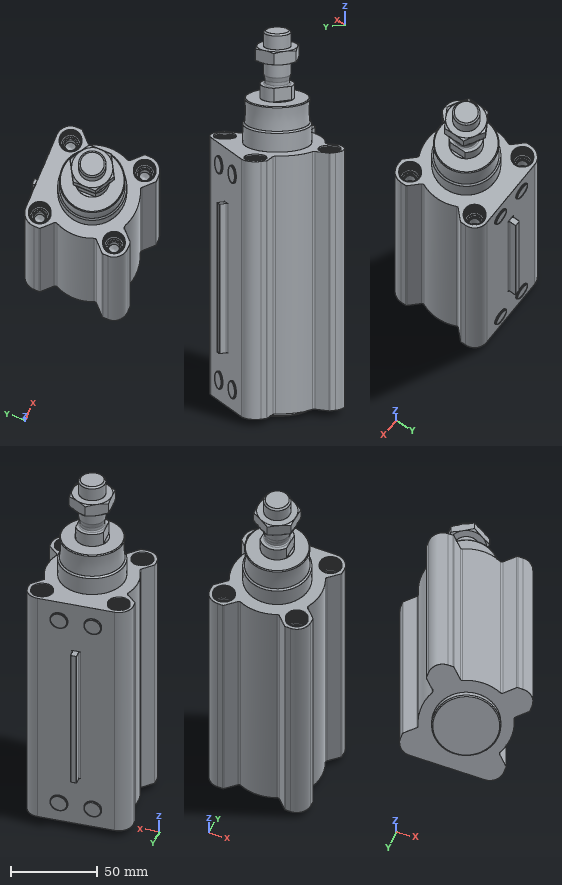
import cadquery as cq
import math

overall_height = 227.8
body_width = 64.0
body_bottom = 4.0
body_length = 156.0
body_top = body_bottom + body_length
body_middle = body_bottom + body_length / 2
half_width = body_width / 2
barrel_diameter = 55.8
barrel_radius = barrel_diameter / 2
boss_spacing = 46.5
boss_offset = boss_spacing / 2
boss_radius = half_width - boss_offset
leg_edge = 19.5
root_fillet = 1.4
leg_edge_fillet = 1.0

entry_diameter = 13.2
entry_depth = 1.0
groove_diameter = 12.0
groove_land_diameter = 11.5
groove_pitch = 1.4
groove_count = 6
tier_diameters = (9.5, 8.0)
tier_height = 1.4
thread_bore_diameter = 6.5
thread_bore_depth = 18.2
drill_point_angle = 118.0

collar_diameter = 40.0
collar_top = 171.5
collar_bevel = 1.0
neck_diameter = 38.0
neck_waist_diameter = 37.1
neck_top = 187.3
neck_edge_chamfer = 0.57
rear_cap_chamfer = 0.7

rib_width = 3.6
rib_projection = 5.0
rib_length = 90.5
rib_base_fillet = 1.0
rib_edge_chamfer = 0.35
pad_diameter = 10.7
pad_projection = 1.03
pad_chamfer = 0.5
pad_spacing_x = 20.5
pad_spacing_z = 130.3

rod_diameter = 20.0
rod_bottom = body_top
flats_width = 16.9
flats_bottom = 187.5
shoulder_top = 195.7
undercut_diameter = 14.4
undercut_fillet = 0.7
thread_diameter = 16.0
thread_bottom = 201.4
thread_runout = 3.0
thread_chamfer = 1.03

nut_across_flats = 24.0
nut_height = 8.0
nut_bottom = 210.5
nut_across_corners = nut_across_flats / math.cos(math.pi / 6)
nut_face_diameter = nut_across_flats
nut_chamfer_angle = 20.0


def cylinder(diameter, bottom, top):
    return cq.Workplane("XY", origin=(0, 0, bottom)).circle(diameter / 2).extrude(top - bottom)


def revolve_profile(profile):
    """Turn an XZ outline, drawn on the +X side, about the Z axis."""
    return profile.close().revolve(360, (0, 0, 0), (0, 1, 0))


def barrel_sketch_plane():
    return cq.Workplane("XY", origin=(0, 0, body_bottom))


def vertical_edges_at(x, y):
    """Selector for the Z edges at one point of the barrel outline."""
    reach = 0.2
    return cq.selectors.BoxSelector(
        (x - reach, y - reach, body_bottom - reach),
        (x + reach, y + reach, body_top + reach),
    )


def make_barrel():
    half_leg = (half_width - leg_edge) / math.sqrt(2)
    square = barrel_sketch_plane().rect(body_width, body_width).extrude(body_length)
    barrel = cylinder(barrel_diameter, body_bottom, body_top)
    for angle in (45, 135):
        leg = barrel_sketch_plane().rect(2 * body_width, 2 * half_leg).extrude(body_length)
        barrel = barrel.union(leg.rotate((0, 0, 0), (0, 0, 1), angle).intersect(square))

    wall = (
        barrel_sketch_plane().center(0, (boss_offset + half_width) / 2)
        .rect(boss_spacing, half_width - boss_offset).extrude(body_length)
    )
    wall_fill = (
        barrel_sketch_plane().center(0, boss_offset / 2)
        .rect(2 * (boss_offset - half_leg), boss_offset).extrude(body_length)
    )
    barrel = barrel.union(wall).union(wall_fill).clean()

    root_along = math.sqrt(barrel_radius**2 - half_leg**2)
    root_far = (root_along + half_leg) / math.sqrt(2)
    root_near = (root_along - half_leg) / math.sqrt(2)
    for x in (-1, 1):
        for far, near, radius in (
            (root_far, root_near, root_fillet),
            (half_width, leg_edge, leg_edge_fillet),
        ):
            for point in ((x * far, near), (x * far, -near), (x * near, -far)):
                barrel = barrel.edges(vertical_edges_at(*point)).fillet(radius)
        for y in (-1, 1):
            barrel = barrel.edges(vertical_edges_at(x * half_width, y * half_width)).fillet(boss_radius)
    return barrel


def make_socket():
    """Cutter for one screw socket on the Z axis: entry, ring grooves, narrowing tiers and a drilled bore."""
    entry_floor = body_top - entry_depth
    grooved_floor = entry_floor - groove_count * groove_pitch
    bore_floor = body_top - thread_bore_depth
    bore_radius = thread_bore_diameter / 2
    point_length = bore_radius / math.tan(math.radians(drill_point_angle / 2))

    socket = cylinder(entry_diameter, entry_floor, body_top)
    socket = socket.union(cylinder(groove_land_diameter, grooved_floor, entry_floor))
    for index in range(groove_count):
        groove_top = entry_floor - index * groove_pitch
        socket = socket.union(cylinder(groove_diameter, groove_top - groove_pitch / 2, groove_top))

    tier_top = grooved_floor
    for diameter in tier_diameters:
        socket = socket.union(cylinder(diameter, tier_top - tier_height, tier_top))
        tier_top -= tier_height

    bore = revolve_profile(
        cq.Workplane("XZ")
        .moveTo(0, tier_top)
        .lineTo(bore_radius, tier_top)
        .lineTo(bore_radius, bore_floor)
        .lineTo(0, bore_floor - point_length)
    )
    return socket.union(bore)


def make_collar():
    """Collar with a bevelled shoulder, below a neck with a slightly hollow waist."""
    collar_radius = collar_diameter / 2
    neck_radius = neck_diameter / 2
    bevel_top = collar_top + collar_bevel
    rim = neck_top - neck_edge_chamfer
    return revolve_profile(
        cq.Workplane("XZ")
        .moveTo(0, body_top)
        .lineTo(collar_radius, body_top)
        .lineTo(collar_radius, collar_top)
        .lineTo(neck_radius, bevel_top)
        .threePointArc((neck_waist_diameter / 2, (bevel_top + rim) / 2), (neck_radius, rim))
        .lineTo(neck_radius - neck_edge_chamfer, neck_top)
        .lineTo(0, neck_top)
    )


def make_rib():
    """Lengthwise rib with chamfered outer edges and fillets down to the flat +Y side."""
    rib_half = rib_width / 2
    tip = half_width + rib_projection
    foot = rib_half + rib_base_fillet
    outline = (
        cq.Workplane("XY", origin=(0, 0, body_middle - rib_length / 2))
        .moveTo(-foot, half_width)
        .radiusArc((-rib_half, half_width + rib_base_fillet), -rib_base_fillet)
        .lineTo(-rib_half, tip - rib_edge_chamfer)
        .lineTo(-rib_half + rib_edge_chamfer, tip)
        .lineTo(rib_half - rib_edge_chamfer, tip)
        .lineTo(rib_half, tip - rib_edge_chamfer)
        .lineTo(rib_half, half_width + rib_base_fillet)
        .radiusArc((foot, half_width), -rib_base_fillet)
        .close()
    )
    return outline.extrude(rib_length)


def make_port_pads():
    return (
        cq.Workplane("XZ", origin=(0, half_width, body_middle))
        .rarray(pad_spacing_x, pad_spacing_z, 2, 2)
        .circle(pad_diameter / 2).extrude(-pad_projection)
        .faces(">Y").chamfer(pad_chamfer)
    )


def make_housing():
    rear_cap = cylinder(collar_diameter, 0, body_bottom).faces("<Z").chamfer(rear_cap_chamfer)
    housing = make_barrel().union(rear_cap).union(make_collar())
    housing = housing.union(make_rib()).union(make_port_pads())
    socket = make_socket()
    for x in (-boss_offset, boss_offset):
        for y in (-boss_offset, boss_offset):
            housing = housing.cut(socket.translate((x, y, 0)))
    return housing.cut(cylinder(rod_diameter, rod_bottom, neck_top))


def make_rod():
    shank = cylinder(rod_diameter, rod_bottom, shoulder_top)
    flats_height = shoulder_top - flats_bottom
    flats = (
        cq.Workplane("XY", origin=(0, 0, flats_bottom))
        .rect(flats_width, rod_diameter).extrude(flats_height)
    )
    shank = shank.cut(cylinder(2 * rod_diameter, flats_bottom, shoulder_top).cut(flats))

    thread_radius = thread_diameter / 2
    undercut_radius = undercut_diameter / 2
    runout_bottom = thread_bottom - thread_runout
    threaded_end = revolve_profile(
        cq.Workplane("XZ")
        .moveTo(0, shoulder_top)
        .lineTo(undercut_radius + undercut_fillet, shoulder_top)
        .radiusArc((undercut_radius, shoulder_top + undercut_fillet), undercut_fillet)
        .lineTo(undercut_radius, runout_bottom)
        .lineTo(thread_radius, thread_bottom)
        .lineTo(thread_radius, overall_height - thread_chamfer)
        .lineTo(thread_radius - thread_chamfer, overall_height)
        .lineTo(0, overall_height)
    )
    return shank.union(threaded_end)


def make_nut():
    blank = (
        cq.Workplane("XY", origin=(0, 0, nut_bottom))
        .polygon(6, nut_across_corners).extrude(nut_height)
        .rotate((0, 0, 0), (0, 0, 1), 30)
    )
    face_radius = nut_face_diameter / 2
    corner_radius = nut_across_corners / 2
    corner_drop = (corner_radius - face_radius) * math.tan(math.radians(nut_chamfer_angle))
    nut_top = nut_bottom + nut_height
    envelope = revolve_profile(
        cq.Workplane("XZ")
        .moveTo(0, nut_bottom)
        .lineTo(face_radius, nut_bottom)
        .lineTo(corner_radius, nut_bottom + corner_drop)
        .lineTo(corner_radius, nut_top - corner_drop)
        .lineTo(face_radius, nut_top)
        .lineTo(0, nut_top)
    )
    return blank.intersect(envelope).cut(cylinder(thread_diameter, nut_bottom, nut_top))


housing = make_housing()
rod = make_rod()
nut = make_nut()

result = cq.Compound.makeCompound([housing.val(), rod.val(), nut.val()])